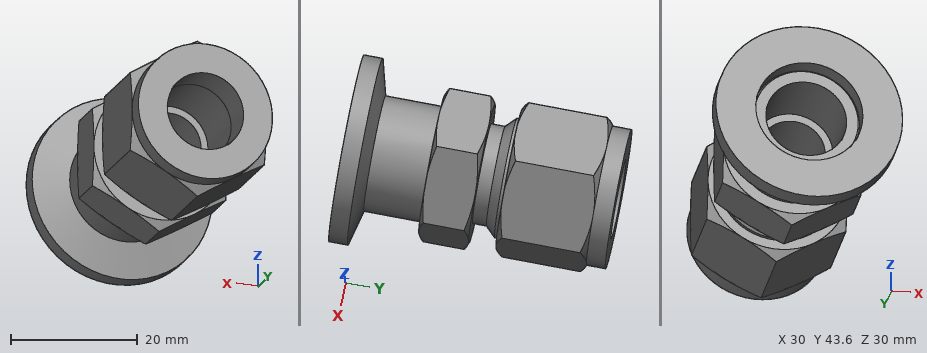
import cadquery as cq
import math

total_length = 43.65

flange_diameter = 30.0
flange_rim_end = 3.0
flange_taper_end = 4.55
stub_diameter = 18.55

body_hex_across_flats = 22.2
body_hex_start = 13.7
body_hex_end = 21.75
body_hex_chamfer_length = 0.75

neck_diameter = 16.0
neck_end = 23.95
thread_diameter = 19.2
thread_start = neck_end + (thread_diameter - neck_diameter) / 2
thread_end = 37.55

recess_diameter = 17.2
recess_floor_diameter = 16.67
recess_floor_depth = 2.55
recess_bevel_length = 0.25
entry_bore_diameter = 12.95
entry_bore_end = 13.7
through_bore_diameter = 10.45
tube_diameter = 12.7
tube_socket_start = 26.2

nut_start = 26.1
nut_hex_end = 40.65
nut_across_flats = 22.35
nut_collar_diameter = nut_across_flats
nut_chamfer_length = 1.0


def revolve_profile(points):
    """Turn a closed (radius, Y) outline around the Y axis."""
    return cq.Workplane("XY").polyline(points).close().revolve(360, (0, 0, 0), (0, 1, 0))


def cylinder(diameter, start, end):
    """Solid cylinder along Y between two stations."""
    radius = diameter / 2
    return revolve_profile([(0, start), (radius, start), (radius, end), (0, end)])


def chamfered_hex(across_flats, start, end, chamfer_length):
    """Hexagonal prism along Y, corners up and down, turned down conically at both ends."""
    corner_radius = across_flats / 2 / math.cos(math.pi / 6)
    chamfer_radius = across_flats / 2
    prism = (
        cq.Workplane("XZ", origin=(0, start, 0))
        .transformed(rotate=(0, 0, 90))
        .polygon(6, 2 * corner_radius)
        .extrude(start - end)
    )
    envelope = revolve_profile([
        (0, start),
        (chamfer_radius, start),
        (corner_radius, start + chamfer_length),
        (corner_radius, end - chamfer_length),
        (chamfer_radius, end),
        (0, end),
    ])
    return prism.intersect(envelope)


def body_passage():
    """Seal recess with a bevelled floor, entry bore, narrow bore and tube socket, as one solid."""
    recess_radius = recess_diameter / 2
    recess = revolve_profile([
        (0, 0),
        (recess_radius, 0),
        (recess_radius, recess_floor_depth + recess_bevel_length),
        (recess_floor_diameter / 2, recess_floor_depth),
        (0, recess_floor_depth),
    ])
    return (
        recess
        .union(cylinder(entry_bore_diameter, 0, entry_bore_end))
        .union(cylinder(through_bore_diameter, 0, thread_end))
        .union(cylinder(tube_diameter, tube_socket_start, thread_end))
    )


def make_body():
    """Flanged body with a wrench hexagon and a plain cylinder at the threaded end."""
    flange_radius = flange_diameter / 2
    stub_radius = stub_diameter / 2
    neck_radius = neck_diameter / 2
    thread_radius = thread_diameter / 2
    turned = revolve_profile([
        (0, 0),
        (flange_radius, 0),
        (flange_radius, flange_rim_end),
        (stub_radius, flange_taper_end),
        (stub_radius, body_hex_end),
        (neck_radius, body_hex_end),
        (neck_radius, neck_end),
        (thread_radius, thread_start),
        (thread_radius, thread_end),
        (0, thread_end),
    ])
    wrench_hex = chamfered_hex(body_hex_across_flats, body_hex_start, body_hex_end, body_hex_chamfer_length)
    return turned.union(wrench_hex).cut(body_passage())


def make_nut():
    """Hexagon nut with a round collar, bored to fit the thread and the tube."""
    collar = cylinder(nut_collar_diameter, nut_hex_end, total_length)
    return (
        chamfered_hex(nut_across_flats, nut_start, nut_hex_end, nut_chamfer_length)
        .union(collar)
        .cut(cylinder(thread_diameter, nut_start, thread_end))
        .cut(cylinder(tube_diameter, nut_start, total_length))
    )


body = make_body()
nut = make_nut()

result = cq.Compound.makeCompound([body.val(), nut.val()])